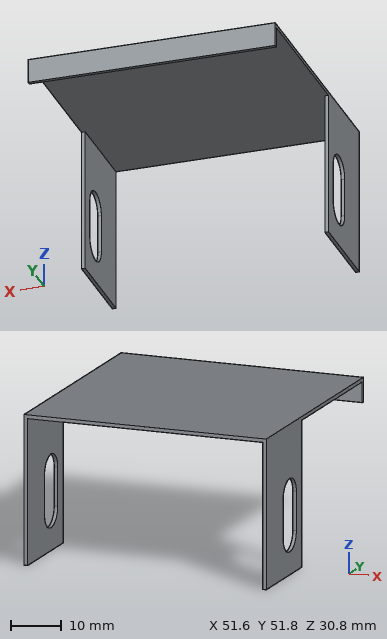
import cadquery as cq

width = 51.6
depth = 51.8
height = 30.8
sheet = 0.8

side_flange_depth = 19.0
rear_lip_height = 5.0

slot_width = 7.0
slot_length = 15.0
slot_from_front = 12.55
slot_from_bottom = 12.2


def block(size_x, size_y, size_z, x, y, z):
    """Box with its lowest corner at (x, y, z)."""
    return cq.Workplane("XY").box(size_x, size_y, size_z, centered=False).translate((x, y, z))


def slot_cutter():
    """Rounded slot running across both side flanges."""
    return (
        cq.Workplane("YZ")
        .center(slot_from_front, slot_from_bottom)
        .slot2D(slot_length, slot_width, 90)
        .extrude(width)
    )


top_plate = block(width, depth, sheet, 0, 0, height - sheet)
rear_lip = block(width, sheet, rear_lip_height, 0, depth - sheet, height - rear_lip_height)

result = top_plate.union(rear_lip)
for flange_x in (0, width - sheet):
    result = result.union(block(sheet, side_flange_depth, height, flange_x, 0, 0))
result = result.cut(slot_cutter())